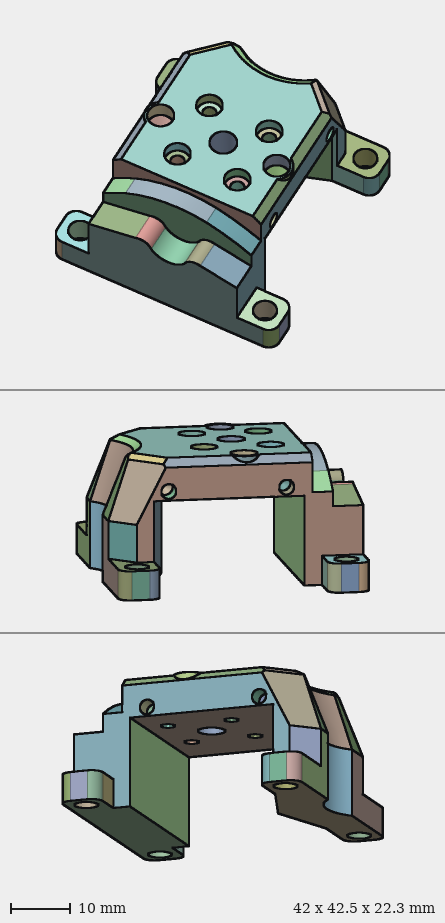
import cadquery as cq
import math

LENGTH = 42.5
HEIGHT = 22.3
BODY_WIDTH = 28.05
HALF_LENGTH = LENGTH / 2
HALF_WIDTH = BODY_WIDTH / 2

FEET_SPAN = 42.0
FOOT_LENGTH = 7.0
FOOT_HEIGHT = 4.97
FOOT_RADIUS = 2.0
FOOT_HOLE_DIAMETER = 4.0
FOOT_HOLE_X = 17.45
FOOT_CENTER_Y = HALF_LENGTH - FOOT_LENGTH / 2

DECK_BOTTOM = 15.3
PASSAGE_FRONT_Y = -11.25
PASSAGE_BACK_Y = 10.2
PASSAGE_SIDE_BACK_Y = HALF_LENGTH - FOOT_LENGTH
BACK_WALL_RIDGE_HALF = 12.1

DECK_FRONT_Y = -12.65
ARCH_FRONT_Y = -16.1
ARCH_START = (-HALF_WIDTH, 15.85)
ARCH_ARCS = [
    ((-11.9, 17.3), (-9.78, 18.57)),
    ((-2.12, 20.82), (5.52, 20.2)),
    ((10.2, 18.4), (HALF_WIDTH, 16.35)),
]
SHELF_SIDE_Z = 13.35
GROOVE_BOTTOM_Z = 12.25
GROOVE_HALF = 3.15
GROOVE_EDGE_Z = 13.85
LIP_HALF = 6.1
LIP_Z = 15.15
LIP_MID_HALF = 4.35

OFFSET_X = 0.98

SIDE_CHAMFER_WIDTH = 1.57
SIDE_CHAMFER_HEIGHT = 1.35

SLOPE_Z = 11.4
BEVEL_Z = 21.4
DRAFT_INSET = 3.65
BEVEL_INSET = 1.3
REAR_CORNER = 4.1
NOTCH_RADIUS = 8.1
NOTCH_DEPTH = 2.4
NOTCH_CENTER_Y = HALF_LENGTH - NOTCH_DEPTH + NOTCH_RADIUS

PATTERN_Y = -1.6
CENTER_HOLE_DIAMETER = 4.6
SCREW_PITCH = 11.3
SCREW_DIAMETER = 2.4
COUNTERBORE_DIAMETER = 4.4
COUNTERBORE_DEPTH = 2.12

DRILL_POINT_ANGLE = 118.0
SOCKET_XS = (-10.9, 11.1)
SOCKET_DIAMETER = 4.5
SOCKET_DEPTH = 2.98
SOCKET_RIM_DIAMETER = 5.52
SIDE_HOLE_DIAMETER = 2.5
SIDE_HOLE_DEPTH = 3.4
SIDE_HOLE_Z = 16.87
SIDE_HOLE_YS = (11.75, -8.25)


def box(x0, x1, y0, y1, z0, z1):
    return cq.Workplane("XY").box(x1 - x0, y1 - y0, z1 - z0, centered=False).translate((x0, y0, z0))


def cylinder(x, y, diameter, z0, z1):
    return cq.Workplane("XY", origin=(x, y, z0)).circle(diameter / 2).extrude(z1 - z0)


def drilled_hole(start, direction, diameter, depth):
    """Blind hole: a cylinder of the given depth plus a conical point."""
    radius = diameter / 2
    point = radius / math.tan(math.radians(DRILL_POINT_ANGLE / 2))
    begin = cq.Vector(*start)
    along = cq.Vector(*direction)
    bore = cq.Solid.makeCylinder(radius, depth, begin, along)
    tip = cq.Solid.makeCone(radius, 0, point, begin + along * depth, along)
    return cq.Workplane(bore.fuse(tip))


def front_profile(y_front, y_back, outline):
    """Extrude an XZ outline from y_front back to y_back."""
    return outline.extrude(y_front - y_back).translate((0, y_front, 0))


def deck():
    chamfer_x = HALF_WIDTH - SIDE_CHAMFER_WIDTH
    chamfer_z = HEIGHT - SIDE_CHAMFER_HEIGHT
    outline = (
        cq.Workplane("XZ")
        .polyline([
            (-HALF_WIDTH, 0), (HALF_WIDTH, 0), (HALF_WIDTH, chamfer_z), (chamfer_x, HEIGHT),
            (-chamfer_x, HEIGHT), (-HALF_WIDTH, chamfer_z),
        ])
        .close()
    )
    return front_profile(DECK_FRONT_Y, HALF_LENGTH, outline)


def arched_shelf():
    outline = cq.Workplane("XZ").moveTo(*ARCH_START)
    for middle, end in ARCH_ARCS:
        outline = outline.threePointArc(middle, end)
    outline = outline.lineTo(HALF_WIDTH, 0).lineTo(-HALF_WIDTH, 0).close()
    return front_profile(ARCH_FRONT_Y, DECK_FRONT_Y, outline)


def grooved_shelf():
    outline = (
        cq.Workplane("XZ")
        .moveTo(-HALF_WIDTH, 0)
        .lineTo(-HALF_WIDTH, SHELF_SIDE_Z)
        .lineTo(OFFSET_X - LIP_HALF, LIP_Z)
        .threePointArc((OFFSET_X - LIP_MID_HALF, LIP_Z), (OFFSET_X - GROOVE_HALF, GROOVE_EDGE_Z))
        .threePointArc((OFFSET_X, GROOVE_BOTTOM_Z), (OFFSET_X + GROOVE_HALF, GROOVE_EDGE_Z))
        .threePointArc((OFFSET_X + LIP_MID_HALF, LIP_Z), (OFFSET_X + LIP_HALF, LIP_Z))
        .lineTo(HALF_WIDTH, SHELF_SIDE_Z)
        .lineTo(HALF_WIDTH, 0)
        .close()
    )
    return front_profile(-HALF_LENGTH, ARCH_FRONT_Y, outline)


def passage():
    """Opening under the deck; its back wall bulges to a shallow ridge behind the notch."""
    return (
        cq.Workplane("XY")
        .polyline([
            (-HALF_WIDTH, PASSAGE_FRONT_Y), (HALF_WIDTH, PASSAGE_FRONT_Y),
            (HALF_WIDTH, PASSAGE_SIDE_BACK_Y),
            (OFFSET_X + BACK_WALL_RIDGE_HALF, PASSAGE_SIDE_BACK_Y),
            (OFFSET_X, PASSAGE_BACK_Y),
            (OFFSET_X - BACK_WALL_RIDGE_HALF, PASSAGE_SIDE_BACK_Y),
            (-HALF_WIDTH, PASSAGE_SIDE_BACK_Y),
        ])
        .close()
        .extrude(DECK_BOTTOM)
    )


def rear_slope_cut():
    """Wedge behind the drafted rear face, across the full width."""
    inset_at_top = DRAFT_INSET * (HEIGHT - SLOPE_Z) / (BEVEL_Z - SLOPE_Z)
    return (
        cq.Workplane("YZ")
        .polyline([(HALF_LENGTH, SLOPE_Z), (HALF_LENGTH, HEIGHT), (HALF_LENGTH - inset_at_top, HEIGHT)])
        .close()
        .extrude(HALF_WIDTH, both=True)
    )


def inset_profile(sign):
    """(Offset, height) points of the drafted and bevelled rear faces; sign sets the offset direction."""
    drafted = sign * DRAFT_INSET
    bevelled = sign * (DRAFT_INSET + BEVEL_INSET)
    return [(0, 0), (0, SLOPE_Z), (drafted, BEVEL_Z), (bevelled, HEIGHT)]


def corner_cut():
    """Material beyond the drafted 45 degree face at the +X rear corner."""
    face_distance = (HALF_WIDTH + HALF_LENGTH - REAR_CORNER) / math.sqrt(2)
    outer = face_distance + REAR_CORNER
    points = [(face_distance + inset, z) for inset, z in inset_profile(-1)]
    diagonal = cq.Plane(origin=(0, 0, 0), xDir=(1, 1, 0), normal=(1, -1, 0))
    return (
        cq.Workplane(diagonal)
        .polyline(points + [(outer, HEIGHT), (outer, 0)])
        .close()
        .extrude(LENGTH, both=True)
    )


def notch_cut():
    """Round rear notch that widens upward like the other rear faces."""
    points = [(NOTCH_RADIUS + inset, z) for inset, z in inset_profile(1)]
    return (
        cq.Workplane("XZ")
        .polyline(points + [(0, HEIGHT), (0, 0)])
        .close()
        .revolve(360, (0, 0), (0, 1))
        .translate((OFFSET_X, NOTCH_CENTER_Y, 0))
    )


def feet(y):
    half_span = FEET_SPAN / 2
    bar = box(-half_span, half_span, y - FOOT_LENGTH / 2, y + FOOT_LENGTH / 2, 0, FOOT_HEIGHT)
    bar = bar.edges("|Z").fillet(FOOT_RADIUS)
    for x in (-FOOT_HOLE_X, FOOT_HOLE_X):
        bar = bar.cut(cylinder(x, y, FOOT_HOLE_DIAMETER, 0, FOOT_HEIGHT))
    return bar


body = deck().union(arched_shelf()).union(grooved_shelf())
right_corner = corner_cut()
body = body.cut(rear_slope_cut()).cut(right_corner).cut(right_corner.mirror("YZ"))

for foot_y in (-FOOT_CENTER_Y, FOOT_CENTER_Y):
    body = body.union(feet(foot_y))
body = body.cut(notch_cut()).cut(passage())

for socket_x in SOCKET_XS:
    rim = cylinder(socket_x, PATTERN_Y, SOCKET_RIM_DIAMETER, HEIGHT - SIDE_CHAMFER_HEIGHT, HEIGHT)
    socket = drilled_hole((socket_x, PATTERN_Y, HEIGHT), (0, 0, -1), SOCKET_DIAMETER, SOCKET_DEPTH)
    body = body.union(rim).cut(socket)

body = body.cut(cylinder(OFFSET_X, PATTERN_Y, CENTER_HOLE_DIAMETER, DECK_BOTTOM, HEIGHT))
for side_x in (-1, 1):
    for side_y in (-1, 1):
        screw_x = OFFSET_X + side_x * SCREW_PITCH / 2
        screw_y = PATTERN_Y + side_y * SCREW_PITCH / 2
        body = body.cut(cylinder(screw_x, screw_y, SCREW_DIAMETER, DECK_BOTTOM, HEIGHT))
        body = body.cut(cylinder(screw_x, screw_y, COUNTERBORE_DIAMETER, HEIGHT - COUNTERBORE_DEPTH, HEIGHT))

for side in (-1, 1):
    for hole_y in SIDE_HOLE_YS:
        start = (side * HALF_WIDTH, hole_y, SIDE_HOLE_Z)
        body = body.cut(drilled_hole(start, (-side, 0, 0), SIDE_HOLE_DIAMETER, SIDE_HOLE_DEPTH))

result = body